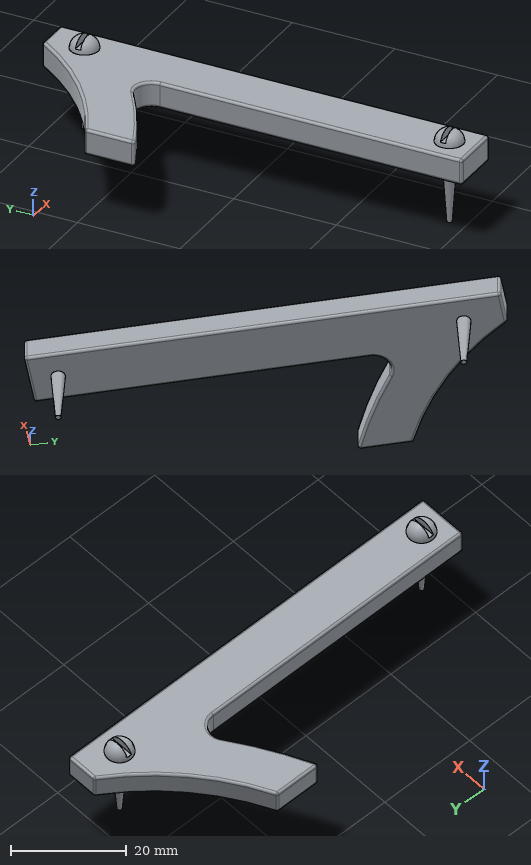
import cadquery as cq

height = 83.7
width = 30.7
thickness = 5.0
stem_width = 10.2
edge_round = 0.5

top_edge_width = 6.6
flag_top_y = 62.9
flag_bottom_y = 53.0
upper_curve_point = (-12.1, 71.4)
lower_curve_point = (-15.1, 58.25)
armpit_corner_y = 65.1
armpit_radius = 3.1

head_radius = 2.7
head_height = 2.5
slot_width = 1.0
slot_depth = 1.7
shank_depth = 10.9
shank_radius_at_wall = 1.25
shank_tip_radius = 0.5
bottom_screw_y = 5.1
top_screw_y = 76.3
screw_positions = [(0, bottom_screw_y), (0, top_screw_y)]

stem_right = stem_width / 2
stem_left = -stem_width / 2
flag_left = stem_right - width

shank_taper = (shank_radius_at_wall - shank_tip_radius) / shank_depth
shank_top_radius = shank_radius_at_wall + shank_taper * thickness


def make_shank():
    """Tapered shank from its blunt tip up to the front face of the numeral."""
    return (
        cq.Workplane("XZ")
        .moveTo(0, -shank_depth)
        .lineTo(shank_tip_radius, -shank_depth)
        .lineTo(shank_top_radius, thickness)
        .lineTo(0, thickness)
        .close()
        .revolve(360, (0, 0), (0, 1))
    )


def make_head():
    """Domed head, a spherical cap with a straight driver slot along X."""
    head_top = thickness + head_height
    dome_radius = (head_radius**2 + head_height**2) / (2 * head_height)
    dome = cq.Workplane("XY").sphere(dome_radius).translate((0, 0, head_top - dome_radius))
    cap_block = (
        cq.Workplane("XY", origin=(0, 0, thickness))
        .circle(head_radius)
        .extrude(head_height)
    )
    slot = (
        cq.Workplane("XY", origin=(0, 0, head_top - slot_depth))
        .rect(2 * head_radius, slot_width)
        .extrude(slot_depth)
    )
    return dome.intersect(cap_block).cut(slot)


def make_screw(position):
    """One slotted round-head screw at the given (X, Y)."""
    return make_shank().union(make_head()).translate((*position, 0))


def make_numeral():
    """Numeral one with rounded edges and a tapered hole for each screw."""
    numeral = (
        cq.Workplane("XY")
        .moveTo(stem_left, 0)
        .lineTo(stem_right, 0)
        .lineTo(stem_right, height)
        .lineTo(stem_right - top_edge_width, height)
        .threePointArc(upper_curve_point, (flag_left, flag_top_y))
        .lineTo(flag_left, flag_bottom_y)
        .threePointArc(lower_curve_point, (stem_left, armpit_corner_y))
        .close()
        .extrude(thickness)
    )
    armpit = cq.selectors.NearestToPointSelector((stem_left, armpit_corner_y, thickness / 2))
    upright_edges = cq.selectors.StringSyntaxSelector("|Z")
    numeral = numeral.edges(upright_edges).edges(armpit).fillet(armpit_radius)
    armpit_reach = 3 * armpit_radius
    armpit_zone = cq.selectors.BoxSelector(
        (stem_left - armpit_reach, armpit_corner_y - armpit_reach, 0),
        (stem_left + edge_round, armpit_corner_y + edge_round, thickness),
    )
    numeral = numeral.edges(cq.selectors.InverseSelector(armpit_zone & upright_edges)).fillet(edge_round)
    for position in screw_positions:
        numeral = numeral.cut(make_shank().translate((*position, 0)))
    return numeral


numeral = make_numeral()
screws = [make_screw(position) for position in screw_positions]

result = cq.Compound.makeCompound([numeral.val(), *[screw.val() for screw in screws]])